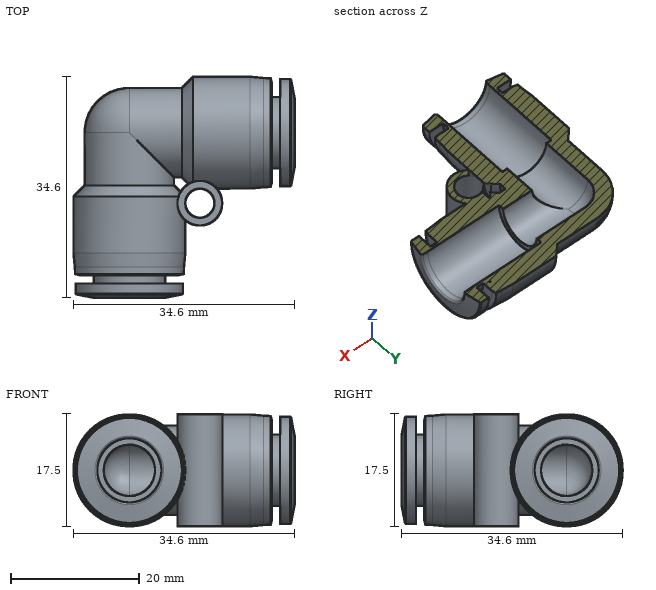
import cadquery as cq

elbow_radius = 7.0
bore_radius = 4.0

port_length = 25.8
shoulder_start = 8.2
taper_start = 18.8
lip_start = 20.95
body_end = 22.25
collar_start = 23.5
collar_rim_end = 25.25
lead_in_depth = 1.2

body_radius = 8.75
lip_radius = 8.55
lip_end_radius = 8.5
end_face_radius = 7.7
neck_radius = 5.6
collar_radius = 8.4
mouth_radius = 5.35
lead_in_radius = 5.05
tube_radius = 5.0

shoulder_end = shoulder_start + body_radius - elbow_radius
end_cone_length = 0.2
collar_edge_chamfer = 0.2
mouth_fillet = mouth_radius - lead_in_radius
mouth_fillet_end = port_length - mouth_fillet
lead_in_end = port_length - lead_in_depth
tube_stop = shoulder_end

eyelet_offset = 11.0
eyelet_radius = 3.5
eyelet_hole_radius = 2.25
eyelet_height = 2 * body_radius


def revolve_port(outline):
    """Revolve a closed half section about the X axis."""
    return outline.revolve(360, (0, 0, 0), (1, 0, 0))


def as_lower_port(port):
    """Turn a port lying along +X so that it lies along -Y."""
    return port.rotate((0, 0, 0), (0, 0, 1), -90)


def make_port_body():
    points = [
        (0, 0),
        (0, elbow_radius),
        (shoulder_start, elbow_radius),
        (shoulder_end, body_radius),
        (taper_start, body_radius),
        (lip_start, lip_radius),
        (body_end - end_cone_length, lip_end_radius),
        (body_end, end_face_radius),
        (body_end, neck_radius),
        (collar_start, neck_radius),
        (collar_start, collar_radius),
        (collar_rim_end - collar_edge_chamfer, collar_radius),
        (collar_rim_end, collar_radius - collar_edge_chamfer),
        (port_length, mouth_radius),
        (port_length, 0),
    ]
    return revolve_port(cq.Workplane("XY").polyline(points).close())


def make_port_passage():
    outline = (
        cq.Workplane("XY")
        .lineTo(0, bore_radius)
        .lineTo(tube_stop, bore_radius)
        .lineTo(tube_stop, tube_radius)
        .lineTo(lead_in_end, tube_radius)
        .lineTo(mouth_fillet_end, lead_in_radius)
        .tangentArcPoint((port_length, mouth_radius), relative=False)
        .lineTo(port_length, 0)
        .close()
    )
    return revolve_port(outline)


def join_ports(port, corner_radius):
    """Join a port and its turned copy with a ball at the outer corner."""
    corner = cq.Workplane("XY").sphere(corner_radius)
    return port.union(as_lower_port(port)).union(corner)


def make_eyelet_cylinder(radius):
    return (
        cq.Workplane("XY")
        .center(eyelet_offset, -eyelet_offset)
        .circle(radius)
        .extrude(eyelet_height / 2, both=True)
    )


fitting = join_ports(make_port_body(), elbow_radius)
passage = join_ports(make_port_passage(), bore_radius)
eyelet = make_eyelet_cylinder(eyelet_radius)
eyelet_hole = make_eyelet_cylinder(eyelet_hole_radius)

result = fitting.union(eyelet).cut(passage).cut(eyelet_hole)